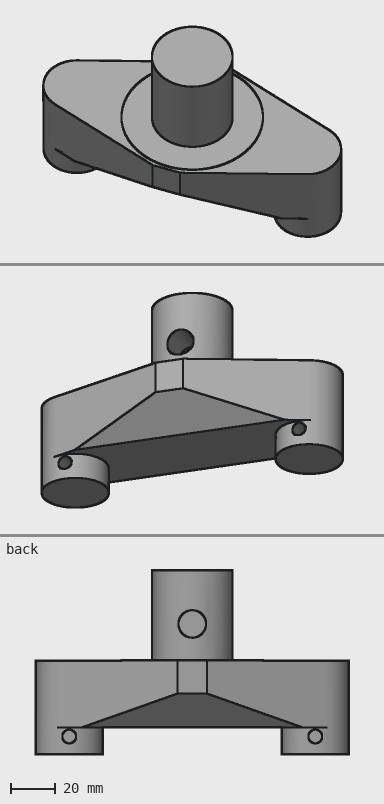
import cadquery as cq
import math

overall_length = 139.5
bar_width = 66.0
bar_thickness = 29.7
middle_flat_length = 13.0
edge_chamfer = 15.0

leg_diameter = 30.0
leg_drop = 12.0
leg_hole_diameter = 6.1
leg_hole_height = 8.0

shaft_diameter = 36.0
shaft_height = 40.0
shaft_hole_diameter = 12.3
shaft_hole_rise = 16.0
shoulder_diameter = 63.0
shoulder_height = 0.3

leg_radius = leg_diameter / 2
leg_offset = overall_length / 2 - leg_radius
bar_top = leg_drop + bar_thickness
shoulder_top = bar_top + shoulder_height


def cylinder(diameter, height, x, base):
    """Upright cylinder standing at the given x and base height."""
    return cq.Workplane("XY", origin=(x, 0, base)).circle(diameter / 2).extrude(height)


def hole_from_back(diameter, x, height):
    """Cutter for a radial hole running from the XZ plane out past the +Y side."""
    return cq.Workplane("XZ", origin=(x, 0, height)).circle(diameter / 2).extrude(-bar_width)


def crossbar():
    """Bar with sides tapering to tangency with the legs and chamfered lower edges."""
    half_flat = middle_flat_length / 2
    half_width = bar_width / 2

    run = leg_offset - half_flat
    taper = math.atan2(half_width, run) - math.asin(leg_radius / math.hypot(run, half_width))
    tangent_x = leg_offset + leg_radius * math.sin(taper)
    tangent_y = leg_radius * math.cos(taper)

    bar = (
        cq.Workplane("XY", origin=(0, 0, leg_drop))
        .moveTo(-half_flat, half_width)
        .lineTo(half_flat, half_width)
        .lineTo(tangent_x, tangent_y)
        .lineTo(tangent_x, -tangent_y)
        .lineTo(half_flat, -half_width)
        .lineTo(-half_flat, -half_width)
        .lineTo(-tangent_x, -tangent_y)
        .lineTo(-tangent_x, tangent_y)
        .close()
        .extrude(bar_thickness)
    )

    section = (
        cq.Workplane("YZ")
        .moveTo(-half_width, bar_top)
        .lineTo(half_width, bar_top)
        .lineTo(half_width, leg_drop + edge_chamfer)
        .lineTo(half_width - edge_chamfer, leg_drop)
        .lineTo(-half_width + edge_chamfer, leg_drop)
        .lineTo(-half_width, leg_drop + edge_chamfer)
        .close()
        .extrude(overall_length, both=True)
    )
    return bar.intersect(section)


result = crossbar()

for leg_x in (-leg_offset, leg_offset):
    result = result.union(cylinder(leg_diameter, bar_top, leg_x, 0))

result = result.union(cylinder(shoulder_diameter, shoulder_height, 0, bar_top))
result = result.union(cylinder(shaft_diameter, shaft_height, 0, shoulder_top))

result = result.cut(hole_from_back(shaft_hole_diameter, 0, shoulder_top + shaft_hole_rise))
for leg_x in (-leg_offset, leg_offset):
    result = result.cut(hole_from_back(leg_hole_diameter, leg_x, leg_hole_height))